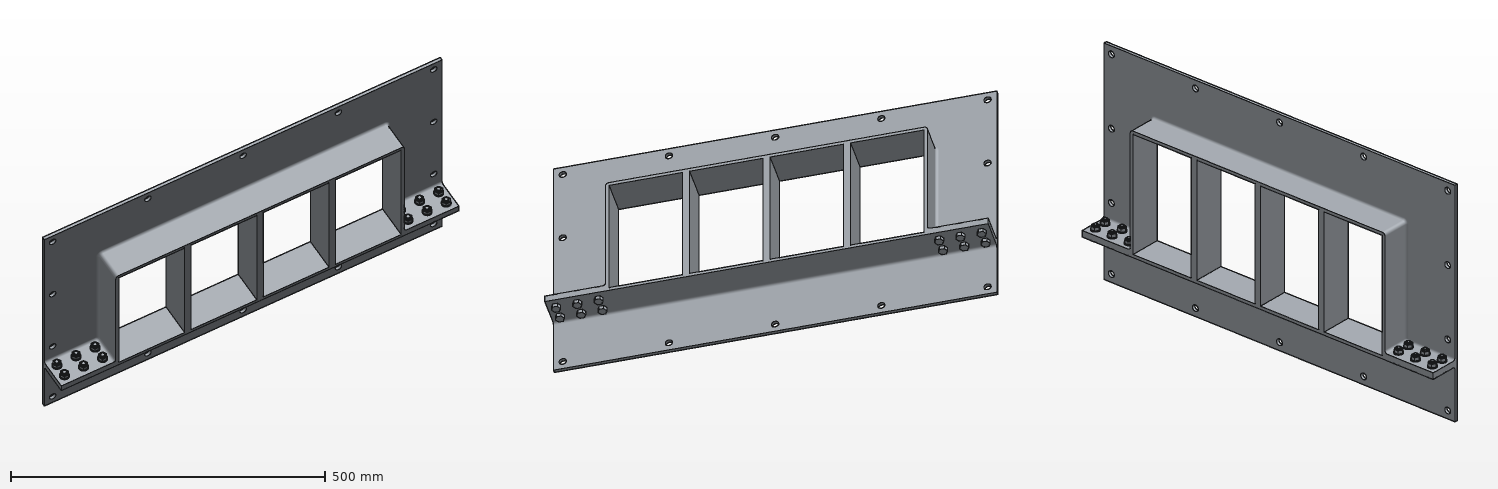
import cadquery as cq
import math

DEPTH = 60.0
LENGTH = 730.0
HEIGHT = 430.0
SHEET = 6.0
ROOT_RADIUS = 5.0
MARGIN = 0.1

BORDER = 100.0
BOTTOM_PLATE_HEIGHT = 106.0
BAYS = 4
FRAME_CORNER_RADIUS = SHEET
DIVIDER_THICKNESS = 2 * SHEET

FRAME_LENGTH = LENGTH - 2 * BORDER
FRAME_TOP = HEIGHT / 2 - BORDER
SEAT_Z = BOTTOM_PLATE_HEIGHT - HEIGHT / 2
FLANGE_TOP = SEAT_Z + SHEET
FLANGE_BOTTOM = SEAT_Z - SHEET

MOUNT_DIAMETER = 12.0
MOUNT_INSET = 15.0
MOUNT_COLUMNS = 5
SIDE_HOLE_PITCH = 135.0

BOLT_X = (20.5, 44.5)
BOLT_END_INSET = 14.5
BOLT_PITCH = 35.0
BOLTS_PER_ROW = 3
BOLT_DIAMETER = 8.0
BOLT_TIP_DIAMETER = 6.65
BOLT_PROTRUSION = 2.6
WASHER_DIAMETER = 16.0
WASHER_THICKNESS = 1.6
HEX_ACROSS_FLATS = 13.0
NUT_FACE_DIAMETER = 12.0
NUT_CHAMFER_ANGLE = math.pi / 6
NUT_HEIGHT = 6.5
HEAD_HEIGHT = 6.5


def block(x0, x1, y0, y1, z0, z1):
    """Box between opposite corners."""
    return cq.Workplane("XY").box(x1 - x0, y1 - y0, z1 - z0, centered=False).translate((x0, y0, z0))


def make_panel_and_flanges():
    """Panel with the frame and both flange layers behind it, before the windows are cut."""
    panel = block(0, SHEET, -LENGTH / 2, LENGTH / 2, -HEIGHT / 2, HEIGHT / 2)
    frame = block(0, DEPTH, -FRAME_LENGTH / 2, FRAME_LENGTH / 2, SEAT_Z, FRAME_TOP)
    frame = frame.edges("|X and >Z").fillet(FRAME_CORNER_RADIUS)
    flanges = block(0, DEPTH, -LENGTH / 2, LENGTH / 2, FLANGE_BOTTOM, FLANGE_TOP)
    body = panel.union(frame).union(flanges)

    behind_panel = cq.selectors.BoxSelector(
        (SHEET - MARGIN, MARGIN - LENGTH / 2, FLANGE_BOTTOM - MARGIN),
        (SHEET + MARGIN, LENGTH / 2 - MARGIN, FRAME_TOP + MARGIN),
    )
    beside_frame = cq.selectors.BoxSelector(
        (SHEET + MARGIN, -FRAME_LENGTH / 2 - MARGIN, FLANGE_TOP - MARGIN),
        (DEPTH - MARGIN, FRAME_LENGTH / 2 + MARGIN, FLANGE_TOP + MARGIN),
    )
    return body.edges(behind_panel + beside_frame).fillet(ROOT_RADIUS)


def make_windows():
    """One through opening per bay, leaving the frame walls and the dividers."""
    bay_pitch = FRAME_LENGTH / BAYS
    first_edge = -FRAME_LENGTH / 2
    windows = cq.Workplane("XY")
    for bay in range(BAYS):
        left_wall = SHEET if bay == 0 else DIVIDER_THICKNESS / 2
        right_wall = SHEET if bay == BAYS - 1 else DIVIDER_THICKNESS / 2
        y0 = first_edge + bay * bay_pitch + left_wall
        y1 = first_edge + (bay + 1) * bay_pitch - right_wall
        windows = windows.add(block(0, DEPTH, y0, y1, SEAT_Z, FRAME_TOP - SHEET))
    return windows.combine()


def make_mounting_holes():
    """Holes along the top and bottom edges, and two more down each side."""
    side_y = LENGTH / 2 - MOUNT_INSET
    row_z = HEIGHT / 2 - MOUNT_INSET
    column_pitch = 2 * side_y / (MOUNT_COLUMNS - 1)
    points = []
    for column in range(MOUNT_COLUMNS):
        for z in (-row_z, row_z):
            points.append((column * column_pitch - side_y, z))
    for y in (-side_y, side_y):
        for step in (1, 2):
            points.append((y, row_z - step * SIDE_HOLE_PITCH))
    return cq.Workplane("YZ").pushPoints(points).circle(MOUNT_DIAMETER / 2).extrude(SHEET)


def hexagon(height):
    """Hexagonal prism from z = 0 upward, with two flats square to X."""
    return cq.Workplane("XY").polygon(6, HEX_ACROSS_FLATS, circumscribed=True).extrude(height)


def make_bolt():
    """Washer, chamfered nut and bolt tip above the flanges, and the hexagonal head below."""
    washer = cq.Workplane("XY").circle(WASHER_DIAMETER / 2).extrude(WASHER_THICKNESS)

    corner_radius = HEX_ACROSS_FLATS / math.sqrt(3)
    face_inset = corner_radius - NUT_FACE_DIAMETER / 2
    face_drop = face_inset * math.tan(NUT_CHAMFER_ANGLE)
    nut_envelope = cq.Workplane("XY").circle(corner_radius).extrude(NUT_HEIGHT)
    nut_envelope = nut_envelope.faces(">Z").chamfer(face_drop, face_inset)
    nut = hexagon(NUT_HEIGHT).intersect(nut_envelope).translate((0, 0, WASHER_THICKNESS))

    tip_z = WASHER_THICKNESS + NUT_HEIGHT + BOLT_PROTRUSION
    tip = cq.Workplane("XY").circle(BOLT_DIAMETER / 2).extrude(tip_z)
    tip = tip.faces(">Z").chamfer((BOLT_DIAMETER - BOLT_TIP_DIAMETER) / 2)

    above = washer.union(nut).union(tip).translate((0, 0, FLANGE_TOP))
    head = hexagon(HEAD_HEIGHT).translate((0, 0, FLANGE_BOTTOM - HEAD_HEIGHT))
    return above, head


def add_bolts(body):
    """Two rows of bolts at each end of the flanges."""
    above, head = make_bolt()
    for end in (-1, 1):
        for step in range(BOLTS_PER_ROW):
            y = end * (LENGTH / 2 - BOLT_END_INSET - step * BOLT_PITCH)
            for x in BOLT_X:
                body = body.union(above.translate((x, y, 0))).union(head.translate((x, y, 0)))
    return body


result = add_bolts(make_panel_and_flanges().cut(make_windows()).cut(make_mounting_holes()))